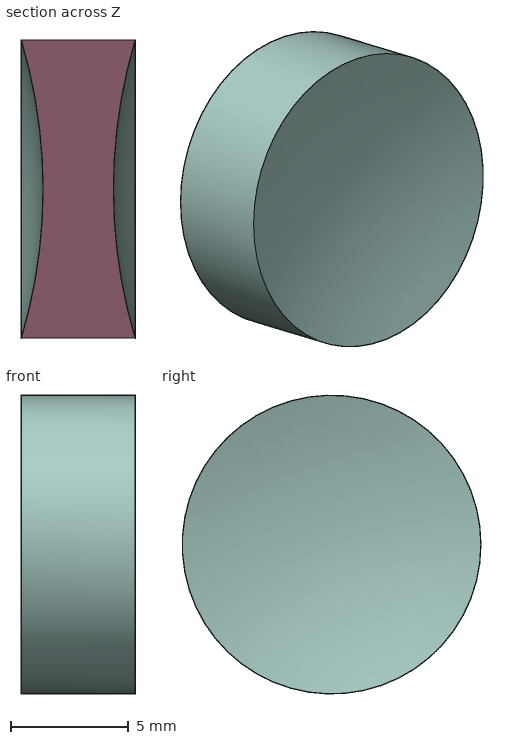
import cadquery as cq
import math

diameter = 12.7
center_thickness = 3.0
curvature_radius = 22.14

rim_radius = diameter / 2


def sphere_drop(height):
    """Axial distance from a face's deepest point to its surface at this height off the axis."""
    return curvature_radius - math.sqrt(curvature_radius**2 - height**2)


sag = sphere_drop(rim_radius)
edge_thickness = center_thickness + 2 * sag

mid_height = rim_radius / 2
mid_depth = sag - sphere_drop(mid_height)


def half_section():
    """Half section in the XY plane, from the axis out to the rim; the -X rim lies at X = 0."""
    return (
        cq.Workplane("XY")
        .moveTo(sag, 0)
        .threePointArc((mid_depth, mid_height), (0, rim_radius))
        .lineTo(edge_thickness, rim_radius)
        .threePointArc((edge_thickness - mid_depth, mid_height), (edge_thickness - sag, 0))
        .close()
    )


result = half_section().revolve(360, (0, 0, 0), (1, 0, 0))